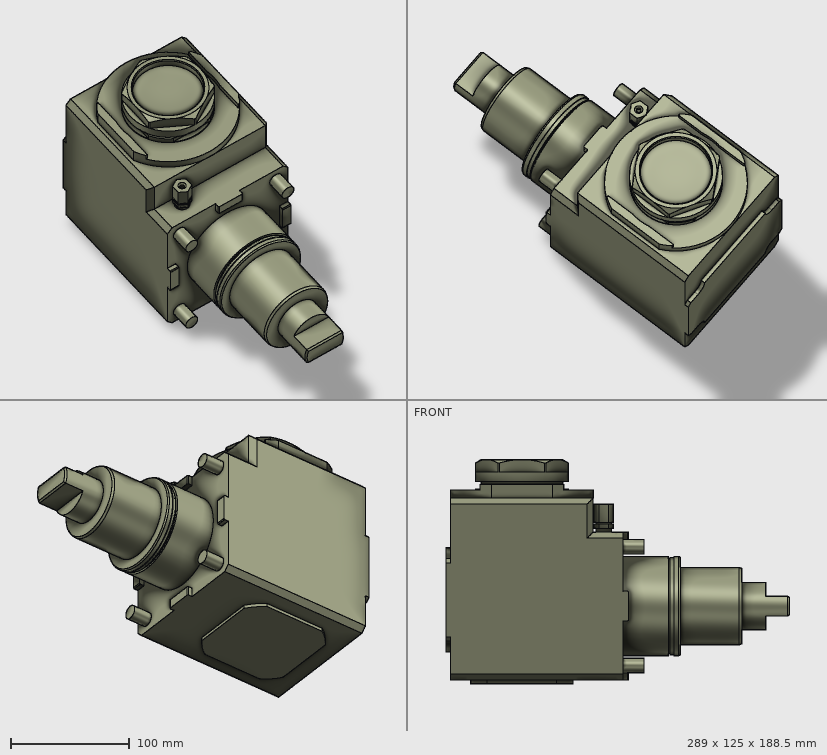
import cadquery as cq
import math


overall_length = 289.0
overall_width = 125.0
overall_height = 188.5

block_left = -60.0
step_x = 59.8
block_right = 85.3
half_width = overall_width / 2
block_bottom = -62.0
step_z = 62.0
block_top = 90.7
block_chamfer = 5.0

plate_thickness = 3.8
plate_center_z = 5.2
plate_half_height = 44.0
plate_shoulder = 34.7
plate_tab_half_width = 40.7
plate_scoop_radius = 8.7
plate_corner = 3.5

pad_width = 25.0
pad_height = 8.7
pad_thickness = 4.5
pad_chamfer = 1.0
screw_offset = 50.0
screw_diameter = 12.5
screw_length = 17.5

foot_side = 86.0
foot_corner_circle = 52.0
foot_thickness = 3.2

collar_radius = 60.0
collar_flat = 54.3
collar_floor_z = 97.7
collar_top_z = 102.3
strip_length = 70.5
strip_inner_y = 47.0
clearance_radius = 48.0

shank_radius = 42.0
shank_end = 123.0
groove_end = 124.5
groove_radius = 40.0
seal_radius = 41.0
ring_start = 127.7
ring_end = 133.2
ring_chamfer = 1.5
ring_bevel = 1.0
nose_radius = 32.7
nose_end = 185.0
nose_chamfer = 2.3
nose_bevel = 1.0
drive_radius = 20.0
drive_shoulder = 205.2
tang_end = block_left - plate_thickness + overall_length
tang_thickness = 16.8
tang_chamfer = 1.7
tang_bevel = 1.2

nozzle_x = 68.8
nozzle_y = -35.3
nozzle_flats = 14.2
nozzle_stem_radius = 6.6
nozzle_nut_z = 65.3
nozzle_nut_top = 69.0
nozzle_head_z = 70.5
nozzle_top = 85.8
nozzle_bore_radius = 2.0
nozzle_bore_depth = 4.3
nozzle_countersink = 1.5

washer_diameter = 78.3
washer_radius = washer_diameter / 2
washer_thickness = 1.0
neck_side = 68.2
neck_top = 102.5
shoulder_radius = 34.5
flange_z = 104.5
flange_top = 112.7
hex_flats = 68.5
nut_top = block_bottom - foot_thickness + overall_height
nut_bevel_radius = 34.5
nut_bevel_angle = 30.0
recess_radius = 30.0
recess_depth = 7.0
recess_bevel = 1.0


def hexagon_diameter(across_flats):
    """Corner-to-corner size of a hexagon."""
    return across_flats / math.cos(math.radians(30))


def disc(radius, bottom, top):
    """Upright cylinder on the spindle axis."""
    return cq.Workplane("XY").workplane(offset=bottom).circle(radius).extrude(top - bottom)


def rounded_square(side, corner_circle, bottom, top):
    """Upright square bar whose corners lie on a circle around the spindle axis."""
    bar = cq.Workplane("XY").workplane(offset=bottom).rect(side, side).extrude(top - bottom)
    return bar.intersect(disc(corner_circle, bottom, top))


def make_block():
    """Stepped block whose long edges are chamfered along both sides."""
    profile = [
        (block_left, block_bottom),
        (block_right, block_bottom),
        (block_right, step_z),
        (step_x, step_z),
        (step_x, block_top),
        (block_left, block_top),
    ]
    block = cq.Workplane("XZ").polyline(profile).close().extrude(half_width, both=True)
    sides = block.faces("<Y or >Y")
    return sides.edges("|X or (|Z and (not (<X or >X)))").chamfer(block_chamfer)


def make_cover_plate():
    """Plate with scooped corners and chamfered ends on the left face."""
    slab = (
        cq.Workplane("XY")
        .box(plate_thickness, 2 * half_width, 2 * plate_shoulder)
        .edges("|X")
        .chamfer(plate_corner)
    )
    tab = cq.Workplane("XY").box(plate_thickness, 2 * plate_tab_half_width, 2 * plate_half_height)
    plate = slab.union(tab)
    web = cq.Workplane("XY").box(plate_thickness, plate_scoop_radius, plate_scoop_radius)
    for side in (-1, 1):
        for end in (-1, 1):
            web_y = side * (plate_tab_half_width + plate_scoop_radius / 2)
            web_z = end * (plate_shoulder + plate_scoop_radius / 2)
            scoop_y = side * (plate_tab_half_width + plate_scoop_radius)
            scoop_z = end * (plate_shoulder + plate_scoop_radius)
            scoop = cq.Workplane("YZ").center(scoop_y, scoop_z).circle(plate_scoop_radius)
            scoop = scoop.extrude(plate_thickness, both=True)
            plate = plate.union(web.translate((0, web_y, web_z)).cut(scoop))
    return plate.translate((block_left - plate_thickness / 2, 0, plate_center_z))


def make_pads():
    """Four pads, one at the middle of each side of the right face."""
    pads = cq.Workplane("XY")
    reaches = {0: half_width, 90: step_z, 180: half_width, 270: -block_bottom}
    for angle, reach in reaches.items():
        pad = (
            cq.Workplane("XY")
            .box(pad_thickness, pad_height, pad_width, centered=(False, False, True))
            .faces(">X")
            .edges("|Y")
            .chamfer(pad_chamfer)
            .translate((block_right, reach - pad_height, 0))
            .rotate((0, 0, 0), (1, 0, 0), angle)
        )
        pads = pads.add(pad)
    return pads.combine()


def make_screws():
    """Four clamping screws around the shank."""
    return (
        cq.Workplane("YZ")
        .workplane(offset=block_right)
        .rect(2 * screw_offset, 2 * screw_offset, forConstruction=True)
        .vertices()
        .circle(screw_diameter / 2)
        .extrude(screw_length)
    )


def make_foot():
    """Low square pad with rounded corners under the block."""
    return rounded_square(foot_side, foot_corner_circle, block_bottom - foot_thickness, block_bottom)


def make_collar():
    """Round collar, flat at front and back, with a strip standing along each flat."""
    outline = disc(collar_radius, block_top, collar_top_z)
    base_height = collar_floor_z - block_top
    strip_height = collar_top_z - collar_floor_z
    base = cq.Workplane("XY").box(2 * collar_radius, 2 * collar_flat, base_height)
    base = base.translate((0, 0, block_top + base_height / 2))
    strips = (
        cq.Workplane("XY")
        .box(strip_length, 2 * collar_flat, strip_height)
        .cut(cq.Workplane("XY").box(strip_length, 2 * strip_inner_y, strip_height))
        .translate((0, 0, collar_floor_z + strip_height / 2))
        .cut(disc(clearance_radius, collar_floor_z, collar_top_z))
    )
    return base.union(strips).intersect(outline)


def make_shank():
    """Turned shank with a seal groove, ending in a flat drive tang."""
    outline = [
        (block_right, 0),
        (block_right, shank_radius),
        (shank_end, shank_radius),
        (shank_end, groove_radius),
        (groove_end, groove_radius),
        (groove_end, seal_radius),
        (ring_start, seal_radius),
        (ring_start, shank_radius),
        (ring_end - ring_chamfer, shank_radius),
        (ring_end, shank_radius - ring_bevel),
        (ring_end, nose_radius),
        (nose_end - nose_chamfer, nose_radius),
        (nose_end, nose_radius - nose_bevel),
        (nose_end, drive_radius),
        (tang_end - tang_chamfer, drive_radius),
        (tang_end, drive_radius - tang_bevel),
        (tang_end, 0),
    ]
    shank = cq.Workplane("XY").polyline(outline).close().revolve(360, (0, 0, 0), (1, 0, 0))
    tang_length = tang_end - drive_shoulder
    waste = cq.Workplane("XY").box(
        tang_length, 2 * drive_radius, 2 * drive_radius, centered=(False, True, True)
    )
    tang = (
        cq.Workplane("XY")
        .box(tang_length, 2 * drive_radius, tang_thickness, centered=(False, True, True))
        .faces(">X")
        .edges("|Y")
        .chamfer(tang_bevel, tang_chamfer)
    )
    return shank.cut(waste.cut(tang).translate((drive_shoulder, 0, 0)))


def make_nozzle():
    """Hexagonal coolant nozzle on a round stem."""
    corner_size = hexagon_diameter(nozzle_flats)
    base = cq.Workplane("XY").center(nozzle_x, nozzle_y)
    nut_height = nozzle_nut_top - nozzle_nut_z
    stem = base.workplane(offset=step_z).circle(nozzle_stem_radius).extrude(nozzle_head_z - step_z)
    nut = base.workplane(offset=nozzle_nut_z).polygon(6, corner_size).extrude(nut_height)
    head = base.workplane(offset=nozzle_head_z).polygon(6, corner_size)
    head = head.extrude(nozzle_top - nozzle_head_z)
    bore = base.workplane(offset=nozzle_top).circle(nozzle_bore_radius).extrude(-nozzle_bore_depth)
    nozzle = stem.union(nut).union(head).cut(bore)
    return nozzle.faces(">Z").edges(cq.selectors.RadiusNthSelector(0)).chamfer(nozzle_countersink)


def make_housing():
    """Block with everything that is fixed to it."""
    housing = make_block()
    attachments = [
        make_cover_plate(),
        make_pads(),
        make_screws(),
        make_foot(),
        make_collar(),
        make_shank(),
        make_nozzle(),
    ]
    for attachment in attachments:
        housing = housing.union(attachment)
    return housing


def make_neck():
    """Square neck for a wrench, with a round shoulder above it."""
    neck = rounded_square(neck_side, washer_radius, collar_floor_z, neck_top)
    return neck.union(disc(shoulder_radius, neck_top, flange_z))


def make_hexagon():
    """Hexagon head, turned off at its corners and beveled, with a shallow round recess."""
    height = nut_top - flange_top
    head = cq.Workplane("XY").workplane(offset=flange_top)
    head = head.polygon(6, hexagon_diameter(hex_flats)).extrude(height)
    bevel_drop = (washer_radius - nut_bevel_radius) * math.tan(math.radians(nut_bevel_angle))
    envelope_profile = [
        (0, flange_top),
        (washer_radius, flange_top),
        (washer_radius, nut_top - bevel_drop),
        (nut_bevel_radius, nut_top),
        (0, nut_top),
    ]
    envelope = (
        cq.Workplane("XZ").polyline(envelope_profile).close().revolve(360, (0, 0, 0), (0, 1, 0))
    )
    recess = disc(recess_radius, nut_top - recess_depth, nut_top)
    head = head.intersect(envelope).cut(recess)
    return head.faces(">Z").edges(cq.selectors.RadiusNthSelector(0)).chamfer(recess_bevel)


def make_spindle_nut():
    """Spindle nut standing on the collar."""
    washer = disc(washer_radius, collar_floor_z, collar_floor_z + washer_thickness)
    flange = disc(washer_radius, flange_z, flange_top)
    return washer.union(make_neck()).union(flange).union(make_hexagon())


housing = make_housing()
spindle_nut = make_spindle_nut()

result = cq.Compound.makeCompound([housing.val(), spindle_nut.val()])